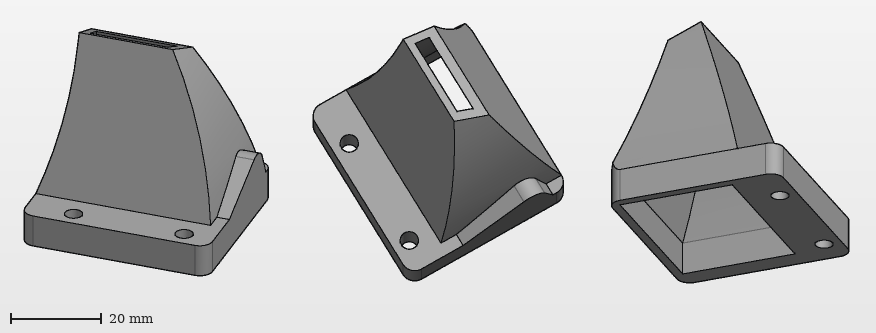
import cadquery as cq
import math

BASE_LENGTH = 44.0
BASE_WIDTH = 40.5
BASE_HEIGHT = 7.55
CORNER_RADIUS = 3.0

HOLE_DIAMETER = 4.0
HOLE_Y = 4.0
HOLE_XS = (11.0, 36.95)

TOTAL_HEIGHT = 43.5
WALL = 2.0
FOOT_FRONT_Y = 9.7
FOOT_RIGHT_X = 41.05
TOP_FRONT_Y = 20.72
TOP_BACK_Y = 28.6
TOP_BACK_Z = 40.4
TOP_LEFT_X = 6.05
TOP_RIGHT_X = 28.05
SIDE_RADIUS = 100.0

HUMP_FRONT_Y = 13.6
HUMP_BACK_Y = 36.5
HUMP_TOP_Z = 14.85
HUMP_RADIUS = 4.0
HUMP_CENTER_Y = 30.75
HUMP_START_X = FOOT_RIGHT_X - 2 * WALL


def rounded_block(height):
    """Block with the base outline and rounded vertical corners."""
    block = cq.Workplane("XY").box(BASE_LENGTH, BASE_WIDTH, height, centered=False)
    return block.edges("|Z").fillet(CORNER_RADIUS)


def side_cylinder(foot_x, top_x, inset):
    """Cylinder along Y through a side's foot and top; its axis lies to the left of the side."""
    rise_x = top_x - foot_x
    rise_z = TOTAL_HEIGHT - BASE_HEIGHT
    chord = math.hypot(rise_x, rise_z)
    axis_distance = math.sqrt(SIDE_RADIUS**2 - (chord / 2) ** 2)
    axis_x = (foot_x + top_x) / 2 - axis_distance * rise_z / chord
    axis_z = (BASE_HEIGHT + TOTAL_HEIGHT) / 2 + axis_distance * rise_x / chord
    return (
        cq.Workplane("XZ")
        .center(axis_x, axis_z)
        .circle(SIDE_RADIUS + inset)
        .extrude(-BASE_WIDTH)
    )


def tower_body(inset):
    """Tower solid with its four sides moved inwards by inset."""
    front_slope = (TOP_FRONT_Y - FOOT_FRONT_Y) / (TOTAL_HEIGHT - BASE_HEIGHT)
    back_slope = (BASE_WIDTH - TOP_BACK_Y) / (TOP_BACK_Z - BASE_HEIGHT)
    top_slope = (TOTAL_HEIGHT - TOP_BACK_Z) / (TOP_BACK_Y - TOP_FRONT_Y)

    front_foot = FOOT_FRONT_Y + inset * math.hypot(1, front_slope)
    back_foot = BASE_WIDTH - inset * math.hypot(1, back_slope)

    top_at_y0 = TOTAL_HEIGHT + top_slope * TOP_FRONT_Y - BASE_HEIGHT
    front_rise = (top_at_y0 - top_slope * front_foot) / (1 + top_slope * front_slope)
    back_rise = (top_at_y0 - top_slope * back_foot) / (1 - top_slope * back_slope)

    wedge = (
        cq.Workplane("YZ")
        .polyline([
            (front_foot, BASE_HEIGHT),
            (back_foot, BASE_HEIGHT),
            (back_foot - back_slope * back_rise, BASE_HEIGHT + back_rise),
            (front_foot + front_slope * front_rise, BASE_HEIGHT + front_rise),
        ])
        .close()
        .extrude(BASE_LENGTH)
    )
    left_side = side_cylinder(0, TOP_LEFT_X, inset)
    right_side = side_cylinder(FOOT_RIGHT_X, TOP_RIGHT_X, -inset)
    return wedge.intersect(right_side).cut(left_side)


def cavity():
    """Duct inside the tower, continued straight down through the base."""
    upper = tower_body(WALL)
    lower = upper.faces("<Z").wires().toPending().workplane().extrude(BASE_HEIGHT)
    return upper.union(lower)


def hump():
    """Rounded ridge along X, with flanks tangent to its crest."""
    center_z = HUMP_TOP_Z - HUMP_RADIUS

    def tangent_point(foot_y, side):
        reach = abs(foot_y - HUMP_CENTER_Y)
        drop = center_z - BASE_HEIGHT
        distance = math.hypot(reach, drop)
        angle = math.acos(HUMP_RADIUS / distance) - math.atan2(drop, reach)
        return (
            HUMP_CENTER_Y + side * HUMP_RADIUS * math.cos(angle),
            center_z + HUMP_RADIUS * math.sin(angle),
        )

    return (
        cq.Workplane("YZ", origin=(HUMP_START_X, 0, 0))
        .moveTo(HUMP_FRONT_Y, BASE_HEIGHT)
        .lineTo(*tangent_point(HUMP_FRONT_Y, -1))
        .threePointArc((HUMP_CENTER_Y, HUMP_TOP_Z), tangent_point(HUMP_BACK_Y, 1))
        .lineTo(HUMP_BACK_Y, BASE_HEIGHT)
        .close()
        .extrude(BASE_LENGTH - HUMP_START_X)
    )


def mounting_holes():
    return (
        cq.Workplane("XY")
        .pushPoints([(x, HOLE_Y) for x in HOLE_XS])
        .circle(HOLE_DIAMETER / 2)
        .extrude(BASE_HEIGHT)
    )


tower = tower_body(0).intersect(rounded_block(TOTAL_HEIGHT))
body = rounded_block(BASE_HEIGHT).union(tower).union(hump())
result = body.cut(cavity()).cut(mounting_holes())